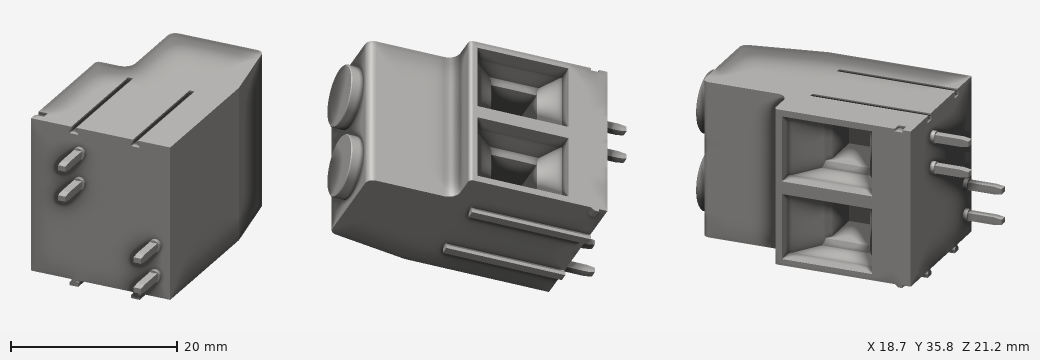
import cadquery as cq
import math


overall_length = 35.75
pole_pitch = 10.15
pole_count = 2
body_width = 18.7
body_height = pole_count * pole_pitch
head_y = 29.28
step_x = 4.47
step_y = 17.9
slope_start_y = 18.75
slope_angle = 10.1
head_radius = 1.0
step_inner_radius = 1.5
step_outer_radius = 0.5
pole_centers = [pole_pitch * (pole + 0.5) for pole in range(pole_count)]

screw_x = 10.05
screw_diameter = 7.83
screw_chamfer = 0.1

pin_diagonal_x = [16.73, 6.58]
pin_offsets_z = [-2.15, 1.85]
pin_length = 4.97
pin_thickness = 1.0
pin_taper_length = 1.0
pin_tip_height = 0.68
collar_diameter = 1.57
collar_length = 0.55

screw_length = overall_length - pin_length - head_y

entry_low_y = 5.05
entry_high_y = 16.87
clamp_low_y = 7.3
funnel_end_y = 13.25
clamp_high_y = 12.65
funnel_start_x = 2.07
funnel_end_x = 4.58
clamp_start_x = 5.65
entry_depth = 10.72
entry_height = 8.5
waist_height = 7.22
clamp_height = 5.47
floor_slope_x = 2.32
waist_x = 4.4
clamp_edge_x = 4.72

joint_x = [5.75, 14.0]
joint_length = 15.48
joint_half_width = 0.57
rib_height = 0.85
rib_neck_half_width = 0.3
groove_depth = 0.9
groove_neck_half_width = 0.34
joint_flank_height = 0.43

key_length = 1.25
key_low_y = 1.1
key_high_y = 2.1
key_tip_y = 1.65
key_height = 0.35
notch_length = 1.2
notch_low_y = 1.07
notch_high_y = 2.1
notch_depth = 0.32


def make_housing():
    head_x = body_width - (head_y - slope_start_y) * math.tan(math.radians(slope_angle))
    outline = [
        (0, 0),
        (body_width, 0),
        (body_width, slope_start_y),
        (head_x, head_y),
        (step_x, head_y),
        (step_x, step_y),
        (0, step_y),
    ]
    housing = cq.Workplane("XY").polyline(outline).close().extrude(body_height)
    middle_z = body_height / 2
    for x, y, radius in [
        (head_x, head_y, head_radius),
        (step_x, head_y, head_radius),
        (step_x, step_y, step_inner_radius),
        (0, step_y, step_outer_radius),
    ]:
        corner = cq.selectors.NearestToPointSelector((x, y, middle_z))
        housing = housing.edges("|Z").edges(corner).fillet(radius)
    return housing


def make_screw(z):
    screw = cq.Workplane("XZ", origin=(screw_x, head_y, z)).circle(screw_diameter / 2)
    return screw.extrude(-screw_length).faces(">Y").chamfer(screw_chamfer)


def make_pin(x, z):
    half = pin_thickness / 2
    half_tip = pin_tip_height / 2
    taper_y = pin_taper_length - pin_length
    side = [
        (0, half),
        (taper_y, half),
        (-pin_length, half_tip),
        (-pin_length, -half_tip),
        (taper_y, -half),
        (0, -half),
    ]
    blade = cq.Workplane("YZ", origin=(x, 0, z)).polyline(side).close().extrude(half, both=True)
    collar = cq.Workplane("XZ", origin=(x, 0, z)).circle(collar_diameter / 2).extrude(collar_length)
    return blade.union(collar)


def make_entry(z):
    """Funnel whose side walls and floor narrow at different depths."""
    plan = [
        (0, entry_low_y),
        (funnel_start_x, entry_low_y),
        (funnel_end_x, clamp_low_y),
        (entry_depth, clamp_low_y),
        (entry_depth, clamp_high_y),
        (clamp_start_x, clamp_high_y),
        (funnel_end_x, funnel_end_y),
        (funnel_start_x, entry_high_y),
        (0, entry_high_y),
    ]
    upper = [
        (0, entry_height / 2),
        (floor_slope_x, entry_height / 2),
        (waist_x, waist_height / 2),
        (clamp_edge_x, clamp_height / 2),
        (entry_depth, clamp_height / 2),
    ]
    lower = [(x, -height) for x, height in reversed(upper)]
    across = cq.Workplane("XY", origin=(0, 0, z)).polyline(plan).close()
    across = across.extrude(entry_height, both=True)
    along = cq.Workplane("XZ", origin=(0, 0, z)).polyline(upper + lower).close().extrude(-step_y)
    return across.intersect(along)


def make_joint_bar(x, top_z, height, neck_half_width):
    """Mushroom-section bar hanging below top_z, running back from the pin face."""
    flank_z = joint_flank_height - height
    neck_z = flank_z + joint_half_width - neck_half_width
    right = [
        (neck_half_width, 0),
        (neck_half_width, neck_z),
        (joint_half_width, flank_z),
        (joint_half_width, -height),
    ]
    left = [(-across, z) for across, z in reversed(right)]
    section = cq.Workplane("XZ", origin=(x, 0, top_z)).polyline(right + left).close()
    return section.extrude(-joint_length)


def make_key():
    side = [(key_low_y, 0), (key_high_y, 0), (key_tip_y, -key_height), (key_low_y, -key_height)]
    return cq.Workplane("YZ").polyline(side).close().extrude(key_length)


def make_notch():
    size_y = notch_high_y - notch_low_y
    notch = cq.Workplane("XY").box(notch_length, size_y, notch_depth, centered=False)
    return notch.translate((0, notch_low_y, body_height - notch_depth))


result = make_housing()

for center_z, pin_x in zip(pole_centers, pin_diagonal_x):
    result = result.cut(make_entry(center_z)).union(make_screw(center_z))
    for offset_z in pin_offsets_z:
        result = result.union(make_pin(pin_x, center_z + offset_z))

for bar_x in joint_x:
    result = result.cut(make_joint_bar(bar_x, body_height, groove_depth, groove_neck_half_width))
    result = result.union(make_joint_bar(bar_x, 0, rib_height, rib_neck_half_width))

result = result.union(make_key()).cut(make_notch())